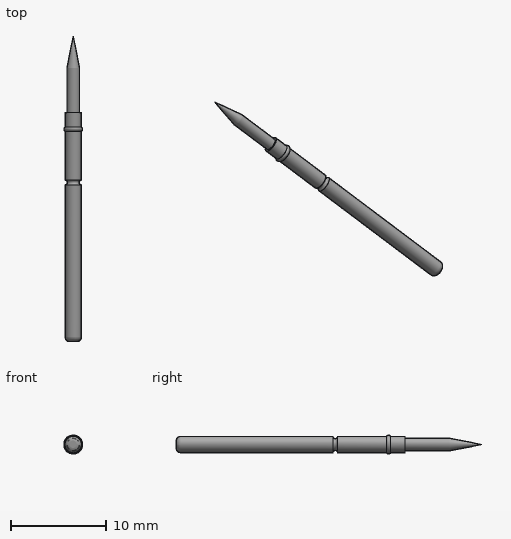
import cadquery as cq

body_radius = 0.85
flange_radius = 1.0
plunger_radius = 0.67
tip_radius = 0.3
taper_radius = 0.32

length = 32.0
tip_length = 1.3
land_length = 0.2
taper_end = 3.33
shoulder = 8.0
flange_start = 9.5
flange_width = 0.45
groove_start = 15.07
groove_width = 0.48
end_fillet = 0.48

point_y = length / 2
tail_y = point_y - length
flange_y = point_y - flange_start
groove_y = point_y - groove_start
shoulder_y = point_y - shoulder
tip_y = point_y - tip_length
groove_floor = body_radius - groove_width / 2

profile = (
    cq.Workplane("XY")
    .moveTo(0, point_y)
    .lineTo(tip_radius, tip_y)
    .lineTo(taper_radius, tip_y - land_length)
    .lineTo(plunger_radius, point_y - taper_end)
    .lineTo(plunger_radius, shoulder_y)
    .lineTo(body_radius, shoulder_y)
    .lineTo(body_radius, flange_y)
    .threePointArc(
        (flange_radius, flange_y - flange_width / 2),
        (body_radius, flange_y - flange_width),
    )
    .lineTo(body_radius, groove_y)
    .threePointArc(
        (groove_floor, groove_y - groove_width / 2),
        (body_radius, groove_y - groove_width),
    )
    .lineTo(body_radius, tail_y)
    .lineTo(0, tail_y)
    .close()
)

pin = profile.revolve(360, (0, 0, 0), (0, 1, 0))

result = pin.faces("<Y").edges().fillet(end_fillet)